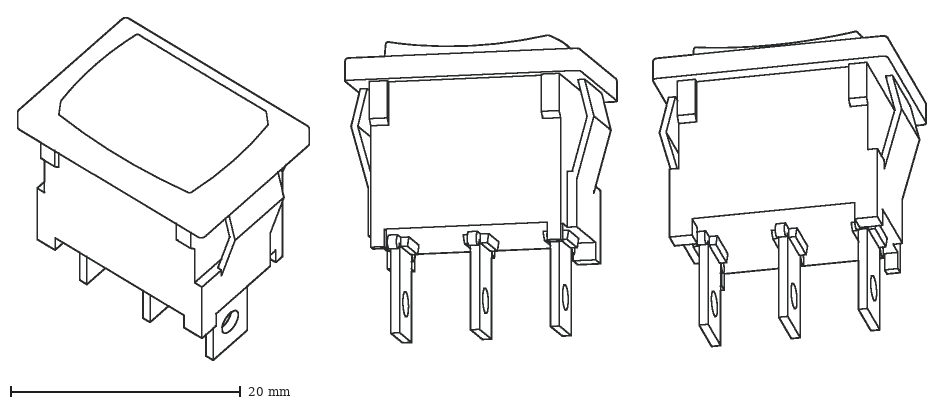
import cadquery as cq

body_floor = 8.53
post_bottom = 6.98
shoulder_height = 13.48
bezel_bottom = 21.58
bezel_top = 23.61

bezel_length = 21.07
bezel_width = 15.0
bezel_corner_radius = 0.45
bezel_edge_radius = 0.25

body_half_length = 8.48
shoulder_half_length = 9.32
body_half_width = 6.02
shoulder_back = 3.35
opening_half_length = 7.29
opening_front = -4.1
opening_back = 5.1

pad_length = 1.6
pad_depth = 0.53
pad_bottom = 17.75

clip_half_width = 3.35
clip_top_x = 10.03
clip_span = 21.7
clip_knee_x = clip_span / 2
clip_knee_height = 18.28
clip_end_height = 12.75
clip_thickness = 0.6

rocker_mid_half_length = 7.87
rocker_corner_x = 7.45
rocker_mid_half_width = 5.9
rocker_corner_y = 5.38
rocker_mid_height = 24.55
rocker_blank_height = 3.05
rocker_dish_radius = 34.02
rocker_draft = 4.5
rocker_edge_radius = 0.23

terminal_pitch = 7.13
terminal_thickness = 0.8
terminal_half_width = 2.34
hole_diameter = 2.2
hole_height = 2.97
collar_height = 0.8
collar_top_length = 2.29
collar_tip_length = 2.03
collar_half_width = 1.98
ear_radius = 0.53
ear_y = 3.12
ear_height = 7.87
ear_root_y = 2.34
ear_root_height = 8.7


def block(x_min, x_max, y_min, y_max, z_min, z_max):
    """Box between opposite corners."""
    size = (x_max - x_min, y_max - y_min, z_max - z_min)
    return cq.Workplane("XY").box(*size, centered=False).translate((x_min, y_min, z_min))


def make_bezel():
    """Flange with rounded corners and a rounded top rim."""
    bezel = (
        cq.Workplane("XY")
        .workplane(offset=bezel_bottom)
        .rect(bezel_length, bezel_width)
        .extrude(bezel_top - bezel_bottom)
    )
    bezel = bezel.edges("|Z").fillet(bezel_corner_radius)
    return bezel.faces(">Z").edges().fillet(bezel_edge_radius)


def make_housing():
    """Body with a wider lower shoulder, open below to leave four corner posts."""
    body = block(
        -body_half_length, body_half_length,
        -body_half_width, body_half_width,
        post_bottom, bezel_bottom,
    )
    shoulder = block(
        -shoulder_half_length, shoulder_half_length,
        -body_half_width, shoulder_back,
        post_bottom, shoulder_height,
    )
    lengthwise_opening = block(
        -shoulder_half_length, shoulder_half_length,
        opening_front, opening_back,
        post_bottom, body_floor,
    )
    crosswise_opening = block(
        -opening_half_length, opening_half_length,
        -body_half_width, body_half_width,
        post_bottom, body_floor,
    )
    return body.union(shoulder).cut(lengthwise_opening).cut(crosswise_opening)


def make_pad_pair():
    """Pads on both wide faces at the +X end, sloped back to the body at the bottom."""
    pad_face = body_half_width + pad_depth
    return (
        cq.Workplane("YZ")
        .workplane(offset=body_half_length - pad_length)
        .moveTo(-pad_face, bezel_bottom)
        .lineTo(-pad_face, pad_bottom + pad_depth)
        .lineTo(-body_half_width, pad_bottom)
        .lineTo(body_half_width, pad_bottom)
        .lineTo(pad_face, pad_bottom + pad_depth)
        .lineTo(pad_face, bezel_bottom)
        .close()
        .extrude(pad_length)
    )


def make_clip():
    """Bent spring leaf at the +X end, from the bezel down to the shoulder."""
    return (
        cq.Workplane("XZ")
        .workplane(offset=-clip_half_width)
        .moveTo(clip_top_x, bezel_bottom)
        .lineTo(clip_knee_x, clip_knee_height)
        .lineTo(shoulder_half_length, clip_end_height)
        .lineTo(shoulder_half_length - clip_thickness, clip_end_height)
        .lineTo(clip_knee_x - clip_thickness, clip_knee_height)
        .lineTo(clip_top_x - clip_thickness, bezel_bottom)
        .close()
        .extrude(2 * clip_half_width)
    )


def make_rocker():
    """Drafted button with four bowed sides and a dished top."""
    blank = (
        cq.Workplane("XY")
        .workplane(offset=bezel_top)
        .moveTo(-rocker_corner_x, -rocker_corner_y)
        .threePointArc((0, -rocker_mid_half_width), (rocker_corner_x, -rocker_corner_y))
        .threePointArc((rocker_mid_half_length, 0), (rocker_corner_x, rocker_corner_y))
        .threePointArc((0, rocker_mid_half_width), (-rocker_corner_x, rocker_corner_y))
        .threePointArc((-rocker_mid_half_length, 0), (-rocker_corner_x, -rocker_corner_y))
        .close()
        .extrude(rocker_blank_height, taper=rocker_draft)
    )
    dish = (
        cq.Workplane("XZ")
        .center(0, rocker_mid_height + rocker_dish_radius)
        .circle(rocker_dish_radius)
        .extrude(bezel_width, both=True)
    )
    rocker = blank.cut(dish)
    rounded_edges = rocker.edges().filter(lambda edge: edge.Center().z > bezel_top + rocker_edge_radius)
    return rounded_edges.fillet(rocker_edge_radius)


def make_ear(side):
    """Round-ended stub beside a terminal, leaning outward and down from the floor."""
    tip = (
        cq.Workplane("YZ")
        .center(side * ear_y, ear_height)
        .circle(ear_radius)
        .extrude(terminal_thickness / 2, both=True)
    )
    run = ear_y - ear_root_y
    rise = ear_root_height - ear_height
    reach = (run**2 + rise**2) ** 0.5
    across_y = ear_radius * rise / reach
    across_z = ear_radius * run / reach
    arm = (
        cq.Workplane("YZ")
        .moveTo(side * (ear_y + across_y), ear_height + across_z)
        .lineTo(side * (ear_root_y + across_y), ear_root_height + across_z)
        .lineTo(side * (ear_root_y - across_y), ear_root_height - across_z)
        .lineTo(side * (ear_y - across_y), ear_height - across_z)
        .close()
        .extrude(terminal_thickness / 2, both=True)
    )
    return tip.union(arm)


def make_terminal():
    """Drilled blade with a tapered collar and two ears."""
    blade = block(
        -terminal_thickness / 2, terminal_thickness / 2,
        -terminal_half_width, terminal_half_width,
        0, body_floor,
    )
    hole = (
        cq.Workplane("YZ")
        .center(0, hole_height)
        .circle(hole_diameter / 2)
        .extrude(terminal_thickness, both=True)
    )
    collar = (
        cq.Workplane("XZ")
        .moveTo(-collar_top_length / 2, body_floor)
        .lineTo(collar_top_length / 2, body_floor)
        .lineTo(collar_tip_length / 2, body_floor - collar_height)
        .lineTo(-collar_tip_length / 2, body_floor - collar_height)
        .close()
        .extrude(collar_half_width, both=True)
    )
    return blade.cut(hole).union(collar).union(make_ear(1)).union(make_ear(-1))


result = make_housing().union(make_bezel()).union(make_rocker())

for end_feature in (make_pad_pair(), make_clip()):
    result = result.union(end_feature).union(end_feature.mirror("YZ"))

terminal = make_terminal()
for position in (-1, 0, 1):
    result = result.union(terminal.translate((position * terminal_pitch, 0, 0)))